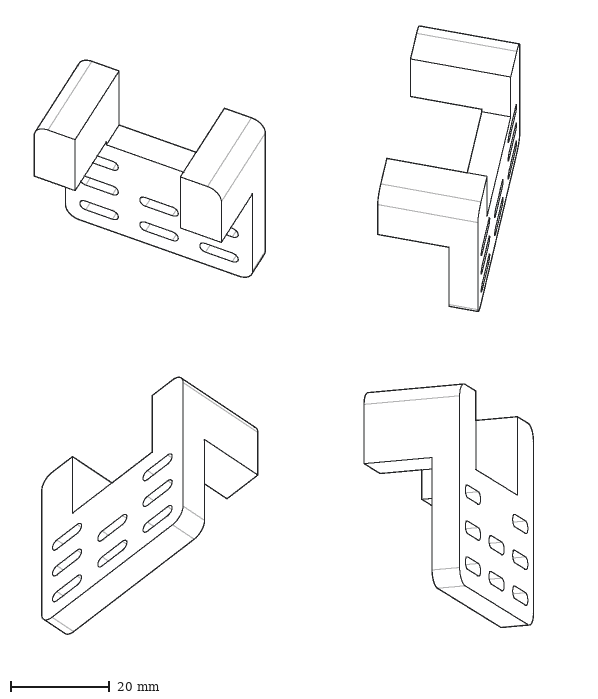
import cadquery as cq

width = 42.0
height = 42.0
plate_thickness = 6.0
corner_radius = 3.1

notch_width = 23.6
notch_floor = 25.6
arm_width = (width - notch_width) / 2
arm_bottom = 26.55
arm_reach = 20.75

slot_length = 8.6
slot_height = 2.6
slot_pitch_x = 13.45
slot_pitch_z = 7.48
bottom_row_z = 5.05
slot_columns = (-1, 0, 1)
slot_rows = (0, 1, 2)
open_position = (0, 2)


def block(size_x, size_y, size_z, center_x, bottom_z):
    """Box whose back face lies at Y = 0 and which extends toward -Y."""
    box = cq.Workplane("XY").box(size_x, size_y, size_z, centered=(True, False, False))
    return box.translate((center_x, -size_y, bottom_z))


def make_body():
    """Plate with two forward arms, rounded at its four outer corners."""
    body = block(width, plate_thickness, height, 0, 0)
    arm_offset = (width - arm_width) / 2
    for side in (-1, 1):
        arm = block(arm_width, arm_reach, height - arm_bottom, side * arm_offset, arm_bottom)
        body = body.union(arm)
    outline = block(width, arm_reach, height, 0, 0).edges("|Y").fillet(corner_radius)
    notch = block(notch_width, arm_reach, height - notch_floor, 0, notch_floor)
    return body.intersect(outline).cut(notch)


def make_slots():
    """Round-ended cutters through the plate thickness."""
    centers = [
        (column * slot_pitch_x, bottom_row_z + row * slot_pitch_z)
        for column in slot_columns
        for row in slot_rows
        if (column, row) != open_position
    ]
    return (
        cq.Workplane("XZ")
        .pushPoints(centers)
        .slot2D(slot_length, slot_height)
        .extrude(plate_thickness)
    )


result = make_body().cut(make_slots())